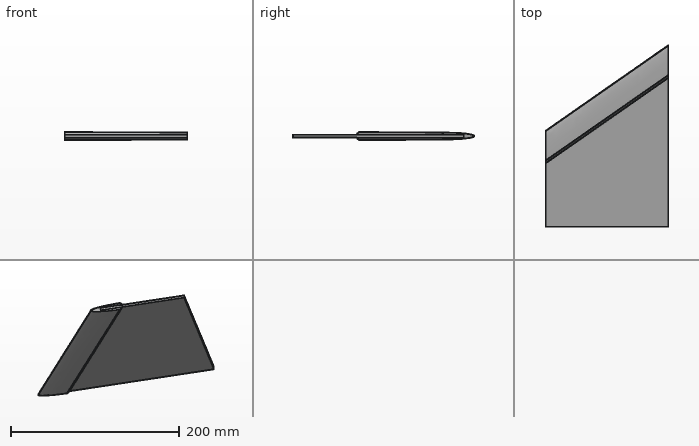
import cadquery as cq

span = 146.0
sweep_rise = 101.7
panel_thickness = 3.5
panel_near_length = 102.0

tip_near_y = 114.2
nose_length = 35.5
bevel_length = 3.2
near_thickness = 10.0
far_thickness = 8.9


def make_panel():
    """Trapezoidal plate centred on the plane Z = 0."""
    return (
        cq.Workplane("XY")
        .workplane(offset=-panel_thickness / 2)
        .moveTo(0, 0)
        .lineTo(span, 0)
        .lineTo(span, panel_near_length + sweep_rise)
        .lineTo(0, panel_near_length)
        .close()
        .extrude(panel_thickness)
    )


def nose_section(x, tip_y, thickness):
    """Closed section wire in the plane at X = x."""
    half = thickness / 2
    shoulder_y = tip_y - nose_length
    rear_y = shoulder_y - bevel_length
    rear_half = panel_thickness / 2
    return (
        cq.Workplane("YZ", origin=(x, shoulder_y, 0))
        .moveTo(0, -half)
        .ellipseArc(nose_length, half, -90, 90, startAtCurrent=True)
        .lineTo(rear_y - shoulder_y, rear_half)
        .lineTo(rear_y - shoulder_y, -rear_half)
        .close()
        .wire()
        .val()
    )


def make_nose_strip(panel):
    """Swept strip with a rear slot that receives the panel."""
    near_section = nose_section(0, tip_near_y, near_thickness)
    far_section = nose_section(span, tip_near_y + sweep_rise, far_thickness)
    strip = cq.Solid.makeLoft([near_section, far_section], True)
    return cq.Workplane(obj=strip).cut(panel)


panel = make_panel()
nose_strip = make_nose_strip(panel)

result = cq.Compound.makeCompound([panel.val(), nose_strip.val()])